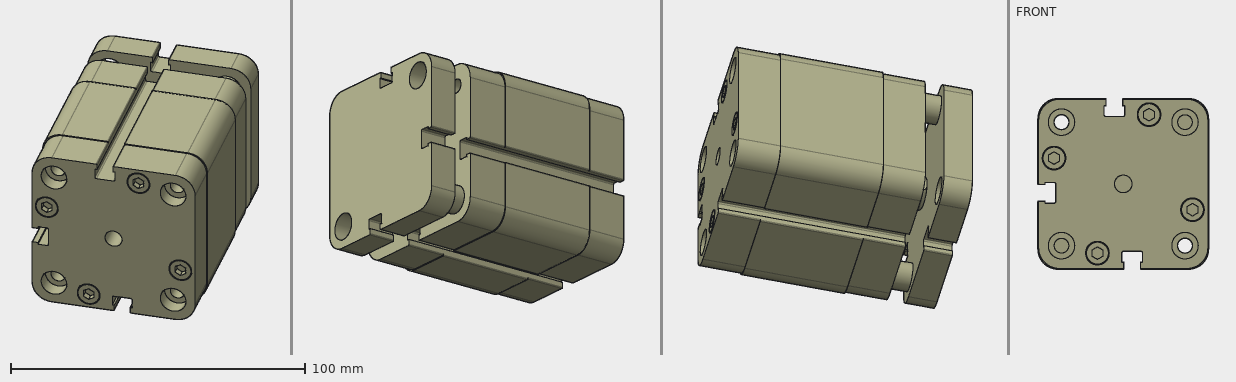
import cadquery as cq

total_length = 82.0
cap_length = 14.8
barrel_length = 36.0
plate_thickness = 10.0

barrel_width = 58.1
cap_width = 57.5
corner_radius = 7.0

slot_offset = 3.0
slot_neck_width = 5.6
slot_width = 7.0
slot_step = 26.6
slot_floor = 23.0
slot_floor_radius = 0.5
slot_mouth_radius = 0.3
slot_angles = (0, 90, 180)

corner_hole_offset = 21.0
counterbore_diameter = 9.0
counterbore_depth = 5.5
bolt_hole_diameter = 5.0
plate_hole_diameter = 9.5

port_diameter = 6.0
port_depth = 10.0

screw_offset_across = 8.8
screw_offset_out = 23.5
screw_recess_diameter = 8.0
screw_head_diameter = 7.5
screw_head_height = 5.0
socket_corners = 4.3
socket_depth = 2.5

guide_rod_diameter = 10.0
guide_rod_offset = 20.4
piston_rod_diameter = 12.0
piston_rod_flats = 9.8
piston_flat_length = 4.6
piston_rod_edge_radius = 1.3

front_face = -total_length / 2
barrel_start = front_face + cap_length
barrel_end = barrel_start + barrel_length
rear_face = barrel_end + cap_length
plate_end = total_length / 2
plate_face = plate_end - plate_thickness


def section_plane(y):
    """Plane across the cylinder axis at y: local x is X, local y is Z, normal is -Y."""
    return cq.Workplane("XZ", origin=(0, y, 0))


def rod(diameter, x, z, start, end):
    """Cylinder along Y from start to end, used for rods and as a cutter for round holes."""
    return section_plane(start).center(x, z).circle(diameter / 2).extrude(start - end)


def t_slot(width, start, end):
    """Cutter for the slot in the +Z side of a block of the given width, with rounded mouth edges."""
    surface = width / 2
    half_neck = slot_neck_width / 2
    half_mouth = half_neck + slot_mouth_radius
    neck_top = surface - slot_mouth_radius
    origin = section_plane(start).center(-slot_offset, 0)
    neck = (
        origin.moveTo(-half_neck, slot_floor)
        .lineTo(-half_neck, neck_top)
        .radiusArc((-half_mouth, surface), -slot_mouth_radius)
        .lineTo(half_mouth, surface)
        .radiusArc((half_neck, neck_top), -slot_mouth_radius)
        .lineTo(half_neck, slot_floor)
        .close()
        .extrude(start - end)
    )
    step_height = slot_step - slot_floor
    chamber = origin.center(0, slot_floor + step_height / 2).rect(slot_width, step_height)
    chamber = chamber.extrude(start - end).edges("|Y and <Z").fillet(slot_floor_radius)
    return neck.union(chamber)


def around_axis(shape, angle):
    """Turn a shape about the cylinder axis, counterclockwise as seen from -Y."""
    return shape.rotate((0, 0, 0), (0, -1, 0), angle)


def slotted_block(width, start, end):
    """Round-cornered square block with a T-slot in each slotted side."""
    block = section_plane(start).rect(width, width).extrude(start - end)
    block = block.edges("|Y").fillet(corner_radius)
    for angle in slot_angles:
        block = block.cut(around_axis(t_slot(width, start, end), angle))
    return block


def piston_rod():
    """Exposed piston rod with two wrench flats ending in 45-degree run-outs."""
    radius = piston_rod_diameter / 2
    shaft = rod(piston_rod_diameter, 0, 0, rear_face, plate_face)
    shaft = shaft.faces(">Y").fillet(piston_rod_edge_radius)
    half_flats = piston_rod_flats / 2
    flat_end = plate_face - piston_flat_length
    flat_depth = radius - half_flats
    flat = (
        cq.Workplane("XY", origin=(0, 0, -radius))
        .moveTo(half_flats, plate_face)
        .lineTo(half_flats, flat_end)
        .lineTo(radius, flat_end - flat_depth)
        .lineTo(radius, plate_face)
        .close()
        .extrude(piston_rod_diameter)
    )
    return shaft.cut(flat).cut(flat.mirror("YZ"))


body = slotted_block(cap_width, front_face, barrel_start)
body = body.union(slotted_block(barrel_width, barrel_start, barrel_end))
body = body.union(slotted_block(cap_width, barrel_end, rear_face))
body = body.union(slotted_block(cap_width, plate_face, plate_end))

body = body.union(piston_rod())
for side in (-1, 1):
    offset = side * guide_rod_offset
    body = body.union(rod(guide_rod_diameter, offset, offset, rear_face, plate_face))

counterbore_end = front_face + counterbore_depth
for sx in (-1, 1):
    for sz in (-1, 1):
        x = sx * corner_hole_offset
        z = sz * corner_hole_offset
        body = body.cut(rod(counterbore_diameter, x, z, front_face, counterbore_end))
        has_guide_rod = sx == sz
        bolt_end = barrel_start if has_guide_rod else rear_face
        body = body.cut(rod(bolt_hole_diameter, x, z, front_face, bolt_end))
        if not has_guide_rod:
            body = body.cut(rod(plate_hole_diameter, x, z, plate_face, plate_end))

body = body.cut(rod(port_diameter, 0, 0, front_face, front_face + port_depth))


screw_places = [
    (screw_offset_across, screw_offset_out),
    (-screw_offset_out, screw_offset_across),
    (-screw_offset_across, -screw_offset_out),
    (screw_offset_out, -screw_offset_across),
]
recesses = section_plane(front_face).pushPoints(screw_places).circle(screw_recess_diameter / 2)
heads = section_plane(front_face).pushPoints(screw_places).circle(screw_head_diameter / 2)
body = body.cut(recesses.extrude(-screw_head_height))
body = body.union(heads.extrude(-screw_head_height))

for x, z in screw_places:
    socket = section_plane(front_face).center(x, z).transformed(rotate=(0, 0, 90))
    body = body.cut(socket.polygon(6, socket_corners).extrude(-socket_depth))

result = body